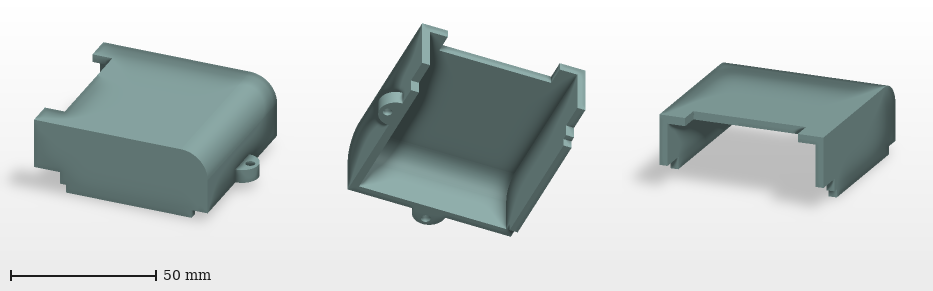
import cadquery as cq

length = 65.0
width = 61.17
height = 23.0
wall = 3.0
outer_radius = 10.0
inner_radius = outer_radius - wall

step_length = 9.8
step_height = 4.5

roof_notch_depth = 7.45
roof_notch_width = 42.0

tab_start = 12.0
tab_length = 47.0
tab_height = 3.0

lug_radius = 6.0
lug_height = 5.0
lug_hole_diameter = 3.4
lug_hole_offset = 3.0
back_lug_x = 23.25
end_lug_y = width / 2


def rounded_profile(start, end, top, radius):
    """Side outline in XZ standing on Z = 0, with its upper +X corner rounded."""
    return (
        cq.Workplane("XZ")
        .moveTo(start, 0)
        .lineTo(end, 0)
        .lineTo(end, top - radius)
        .radiusArc((end - radius, top), -radius)
        .lineTo(start, top)
        .close()
    )


def make_shell():
    outside = rounded_profile(0, length, height, outer_radius).extrude(-width)
    inside = (
        rounded_profile(0, length - wall, height - wall, inner_radius)
        .extrude(-(width - 2 * wall))
        .translate((0, wall, 0))
    )
    return outside.cut(inside)


def make_step_cut():
    return cq.Workplane("XY").box(step_length, width, step_height, centered=False)


def make_roof_notch():
    return (
        cq.Workplane("XY")
        .box(roof_notch_depth, roof_notch_width, wall, centered=False)
        .translate((0, (width - roof_notch_width) / 2, height - wall))
    )


def make_tab():
    return (
        cq.Workplane("XY")
        .box(tab_length, wall, tab_height, centered=False)
        .translate((tab_start, 0, -tab_height))
    )


def make_lug():
    """Half disc on the +X side of the YZ plane, with a vertical screw hole."""
    disc_half = (
        cq.Workplane("XY")
        .moveTo(0, -lug_radius)
        .threePointArc((lug_radius, 0), (0, lug_radius))
        .close()
        .extrude(lug_height)
    )
    hole = (
        cq.Workplane("XY")
        .center(lug_hole_offset, 0)
        .circle(lug_hole_diameter / 2)
        .extrude(lug_height)
    )
    return disc_half.cut(hole)


end_lug = make_lug().translate((length, end_lug_y, 0))
back_lug = make_lug().rotate((0, 0, 0), (0, 0, 1), 90).translate((back_lug_x, width, 0))

result = (
    make_shell()
    .cut(make_step_cut())
    .cut(make_roof_notch())
    .union(make_tab())
    .union(end_lug)
    .union(back_lug)
)